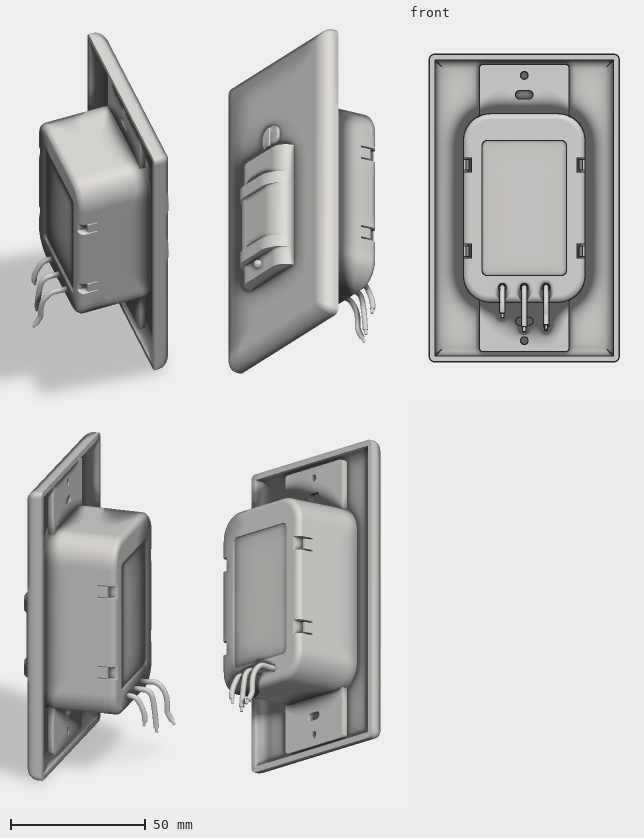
import cadquery as cq


PLATE_WIDTH = 70.5
PLATE_HEIGHT = 114.0
PLATE_DEPTH = 6.8
PLATE_WALL = 2.2
PLATE_EDGE_RADIUS = 5.0
PLATE_CORNER_RADIUS = 2.0
FLOOR_Y = PLATE_DEPTH - PLATE_WALL
POCKET_EDGE_RADIUS = PLATE_EDGE_RADIUS - PLATE_WALL

BEZEL_WIDTH = 36.3
BEZEL_HEIGHT = 71.1
BEZEL_CORNER_RADIUS = 5.1

STRAP_WIDTH = 33.3
STRAP_HEIGHT = 106.5
STRAP_BACK_Y = 1.1
STRAP_THICKNESS = 2.3
STRAP_FRONT_Y = STRAP_BACK_Y + STRAP_THICKNESS
STRAP_CORNER_RADIUS = 1.4
STRAP_HOLE_DIAMETER = 2.8
STRAP_HOLE_Z = 49.1
STRAP_SLOT_LENGTH = 6.5
STRAP_SLOT_HEIGHT = 3.1
STRAP_SLOT_Z = 42.0

HOUSING_WIDTH = 45.0
HOUSING_HEIGHT = 69.9
HOUSING_BACK_Y = -24.7
HOUSING_CORNER_RADIUS = 9.9
HOUSING_EDGE_RADIUS = 2.3

LABEL_WIDTH = 31.2
LABEL_HEIGHT = 50.2
LABEL_DEPTH = 1.0
LABEL_CORNER_RADIUS = 2.0

LATCH_Z = 16.0
LATCH_POCKET_WIDTH = 3.0
LATCH_POCKET_HEIGHT = 5.2
LATCH_POCKET_DEPTH = 7.1
LATCH_TONGUE_HEIGHT = 3.9
LATCH_TONGUE_SETBACK = 3.1
LATCH_TIP_THICKNESS = 0.9
LATCH_ROOT_THICKNESS = 2.4

KNOB_WIDTH = 29.9
KNOB_RING_RISE = 9.1
KNOB_BODY_RISE = 7.8
KNOB_END_RISE = 5.9
KNOB_SIDE_FLAT = 0.2
KNOB_TOP_Z = 16.1
KNOB_BOTTOM_Z = -31.9
UPPER_RING_TOP_Z = 5.1
UPPER_RING_BOTTOM_Z = 0.6
LOWER_RING_TOP_Z = -20.3
LOWER_RING_BOTTOM_Z = -25.0

LAMP_Z = -27.8
LAMP_DIAMETER = 3.2
LAMP_COLLAR = 0.7

BUTTON_WIDTH = 10.1
BUTTON_HEIGHT = 8.2
BUTTON_CORNER_RADIUS = 3.5
BUTTON_RISE = 1.5
BUTTON_Z = 24.0
RIB_WIDTH = 1.4
RIB_HEIGHT = 7.3
RIB_RISE = 2.3

WIRE_SPACING = 8.1
WIRE_Z = -29.4
WIRE_DIAMETER = 2.0
WIRE_HOLE_DIAMETER = 3.0
WIRE_HOLE_DEPTH = 1.1
CONDUCTOR_DIAMETER = 1.1
CONDUCTOR_LENGTH = 1.8
SHORT_LEAD = 1.0
LONG_LEAD = 3.4
WIRES = [
    (SHORT_LEAD, [(-29.6, -32.1), (-31.4, -38.9)], (0.15, -1)),
    (LONG_LEAD, [(-32.1, -34.1), (-33.3, -44.0)], (-0.1, -1)),
    (SHORT_LEAD, [(-30.5, -29.3), (-33.5, -31.9), (-34.9, -38.6), (-36.8, -43.7)], (-0.7, -1)),
]


def block(width, height, y_start, y_end, x=0.0, z=0.0):
    """Box centred on (x, z) that spans y_start to y_end."""
    return cq.Workplane("XY").box(width, y_end - y_start, height).translate((x, (y_start + y_end) / 2, z))


def rounded_block(width, height, radius, y_start, y_end, z=0.0):
    """Block whose four edges along Y are rounded."""
    return block(width, height, y_start, y_end, z=z).edges("|Y").fillet(radius)


def rod(diameter, x, z, y_start, y_end):
    """Round bar along Y."""
    return cq.Workplane("XZ", origin=(x, y_start, z)).circle(diameter / 2).extrude(y_start - y_end)


def bezel_block(y_start):
    return rounded_block(BEZEL_WIDTH, BEZEL_HEIGHT, BEZEL_CORNER_RADIUS, y_start, PLATE_DEPTH)


def make_plate():
    plate = block(PLATE_WIDTH, PLATE_HEIGHT, 0, PLATE_DEPTH).faces(">Y").edges().fillet(PLATE_EDGE_RADIUS)
    plate = plate.edges("|Y").fillet(PLATE_CORNER_RADIUS)
    pocket = (
        block(PLATE_WIDTH - 2 * PLATE_WALL, PLATE_HEIGHT - 2 * PLATE_WALL, 0, FLOOR_Y)
        .faces(">Y").edges().fillet(POCKET_EDGE_RADIUS)
    )
    return plate.cut(pocket).cut(bezel_block(0))


def make_strap():
    strap = rounded_block(STRAP_WIDTH, STRAP_HEIGHT, STRAP_CORNER_RADIUS, STRAP_BACK_Y, STRAP_FRONT_Y)
    for side in (1, -1):
        strap = strap.cut(rod(STRAP_HOLE_DIAMETER, 0, side * STRAP_HOLE_Z, STRAP_BACK_Y, STRAP_FRONT_Y))
        slot = (
            cq.Workplane("XZ", origin=(0, STRAP_BACK_Y, side * STRAP_SLOT_Z))
            .slot2D(STRAP_SLOT_LENGTH, STRAP_SLOT_HEIGHT)
            .extrude(-STRAP_THICKNESS)
        )
        strap = strap.cut(slot)
    return strap


def latch_tongue(z):
    """Tapered tongue on the -X side, thin at the back and thick at its root."""
    outer_x = -HOUSING_WIDTH / 2
    tip_y = HOUSING_BACK_Y + LATCH_TONGUE_SETBACK
    root_y = HOUSING_BACK_Y + LATCH_POCKET_DEPTH
    return (
        cq.Workplane("XY", origin=(0, 0, z - LATCH_TONGUE_HEIGHT / 2))
        .moveTo(outer_x, tip_y)
        .lineTo(outer_x + LATCH_TIP_THICKNESS, tip_y)
        .lineTo(outer_x + LATCH_ROOT_THICKNESS, root_y)
        .lineTo(outer_x, root_y)
        .close()
        .extrude(LATCH_TONGUE_HEIGHT)
    )


def make_housing():
    housing = (
        rounded_block(HOUSING_WIDTH, HOUSING_HEIGHT, HOUSING_CORNER_RADIUS, HOUSING_BACK_Y, STRAP_FRONT_Y)
        .faces("<Y").edges().fillet(HOUSING_EDGE_RADIUS)
    )
    label = rounded_block(
        LABEL_WIDTH, LABEL_HEIGHT, LABEL_CORNER_RADIUS, HOUSING_BACK_Y, HOUSING_BACK_Y + LABEL_DEPTH
    )
    housing = housing.cut(label)
    pocket_x = (HOUSING_WIDTH - LATCH_POCKET_WIDTH) / 2
    for z in (LATCH_Z, -LATCH_Z):
        pocket = block(
            LATCH_POCKET_WIDTH, LATCH_POCKET_HEIGHT,
            HOUSING_BACK_Y, HOUSING_BACK_Y + LATCH_POCKET_DEPTH, x=-pocket_x, z=z,
        )
        latch = pocket.cut(latch_tongue(z))
        housing = housing.cut(latch).cut(latch.mirror("YZ"))
    return housing


def knob_section(rise, z_bottom, z_top):
    """Length of knob whose flat front curves down to the plate along both long sides."""
    z_middle = (z_top + z_bottom) / 2
    section = block(KNOB_WIDTH, z_top - z_bottom, PLATE_DEPTH, PLATE_DEPTH + rise, z=z_middle)
    return section.faces(">Y").edges("|Z").fillet(rise - KNOB_SIDE_FLAT)


def make_knob():
    ends = knob_section(KNOB_END_RISE, KNOB_BOTTOM_Z, KNOB_TOP_Z)
    body = knob_section(KNOB_BODY_RISE, LOWER_RING_BOTTOM_Z, UPPER_RING_TOP_Z)
    upper_ring = knob_section(KNOB_RING_RISE, UPPER_RING_BOTTOM_Z, UPPER_RING_TOP_Z)
    lower_ring = knob_section(KNOB_RING_RISE, LOWER_RING_BOTTOM_Z, LOWER_RING_TOP_Z)
    return ends.union(body).union(upper_ring).union(lower_ring)


def make_lamp():
    base_y = PLATE_DEPTH + KNOB_END_RISE
    dome_y = base_y + LAMP_COLLAR
    collar = rod(LAMP_DIAMETER, 0, LAMP_Z, base_y, dome_y)
    dome = cq.Workplane("XY").sphere(LAMP_DIAMETER / 2).translate((0, dome_y, LAMP_Z))
    return collar.union(dome)


def make_button():
    button = rounded_block(
        BUTTON_WIDTH, BUTTON_HEIGHT, BUTTON_CORNER_RADIUS, PLATE_DEPTH, PLATE_DEPTH + BUTTON_RISE, z=BUTTON_Z
    )
    return button.union(block(RIB_WIDTH, RIB_HEIGHT, PLATE_DEPTH, PLATE_DEPTH + RIB_RISE, z=BUTTON_Z))


def make_wire(x, lead, bend_points, end_direction):
    """Insulated wire from the bottom of its hole, with a bare conductor at the free end."""
    start = cq.Vector(x, HOUSING_BACK_Y + WIRE_HOLE_DEPTH, WIRE_Z)
    bend_start = cq.Vector(x, HOUSING_BACK_Y - lead, WIRE_Z)
    bend = [bend_start] + [cq.Vector(x, y, z) for y, z in bend_points]
    end_tangent = cq.Vector(0, *end_direction)
    path = cq.Wire.assembleEdges([
        cq.Edge.makeLine(start, bend_start),
        cq.Edge.makeSpline(bend, tangents=[cq.Vector(0, -1, 0), end_tangent]),
    ])
    insulation = (
        cq.Workplane("XZ", origin=start.toTuple()).circle(WIRE_DIAMETER / 2).sweep(cq.Workplane(path))
    )
    overlap = end_tangent.normalized().multiply(WIRE_DIAMETER / 2)
    conductor = cq.Solid.makeCylinder(
        CONDUCTOR_DIAMETER / 2, CONDUCTOR_LENGTH + WIRE_DIAMETER / 2, bend[-1] - overlap, end_tangent
    )
    return insulation.union(cq.Workplane(conductor))


def make_device():
    device = make_housing().union(make_strap()).union(bezel_block(STRAP_FRONT_Y))
    device = device.union(make_knob()).union(make_lamp()).union(make_button())
    for index, (lead, bend_points, end_direction) in enumerate(WIRES):
        x = (index - 1) * WIRE_SPACING
        hole = rod(WIRE_HOLE_DIAMETER, x, WIRE_Z, HOUSING_BACK_Y, HOUSING_BACK_Y + WIRE_HOLE_DEPTH)
        device = device.cut(hole).union(make_wire(x, lead, bend_points, end_direction))
    return device


plate = make_plate()
device = make_device()

result = cq.Compound.makeCompound([plate.solids().val(), device.solids().val()])